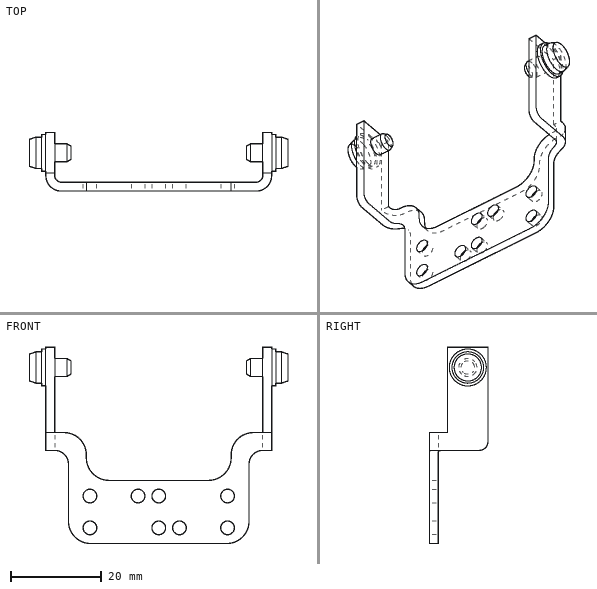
import cadquery as cq

total_length = 57.2
total_height = 43.5
total_depth = 13.0

sheet = 2.0
arm_span = 50.0
bend_outer_radius = 3.5
bend_inner_radius = bend_outer_radius - sheet
half_span = arm_span / 2

plate_width = 40.0
plate_top = 14.0
corner_radius = 5.0
half_plate = plate_width / 2

strip_width = 4.0
neck_top = 24.6
neck_bottom = neck_top - strip_width
neck_inner_x = half_plate - strip_width
inner_curve_radius = 5.0
outer_curve_radius = 3.0

arm_front = 4.0
arm_corner_radius = 2.0

hole_diameter = 3.0
hole_end_x = 15.2
hole_inner_x = 4.6
upper_row_z = 10.5
lower_row_z = 3.5
upper_row_x = (-hole_end_x, -hole_inner_x, 0, hole_end_x)
lower_row_x = (-hole_end_x, 0, hole_inner_x, hole_end_x)

pin_y = (arm_front + total_depth) / 2
pin_below_top = 4.5
pin_z = total_height - pin_below_top
flange_diameter = 8.2
flange_thickness = 0.9
head_diameter = 7.0
head_end_diameter = 6.0
head_taper_length = 1.45
shank_diameter = 4.0
shank_end_diameter = 3.0
shank_taper_length = 0.9
shank_reach = 3.6


def bent_strip():
    """U-shaped sheet, bent from the plate into both arms, before the outlines are cut."""
    outer = (
        cq.Workplane("XY")
        .rect(arm_span, 2 * total_depth)
        .extrude(total_height)
        .edges("|Z")
        .fillet(bend_outer_radius)
    )
    inner = (
        cq.Workplane("XY")
        .rect(arm_span - 2 * sheet, 2 * (total_depth - sheet))
        .extrude(total_height)
        .edges("|Z")
        .fillet(bend_inner_radius)
    )
    behind = cq.Workplane("XY").box(
        arm_span, total_depth, total_height, centered=(True, False, False)
    )
    front_half = outer.cut(inner).cut(behind)
    return front_half.translate((0, total_depth, 0))


def front_outline():
    """Plate and necks as seen along Y, out to the outer faces of the arms."""
    half = (
        cq.Workplane("XZ")
        .moveTo(0, 0)
        .lineTo(half_plate - corner_radius, 0)
        .radiusArc((half_plate, corner_radius), -corner_radius)
        .lineTo(half_plate, neck_bottom - outer_curve_radius)
        .radiusArc((half_plate + outer_curve_radius, neck_bottom), outer_curve_radius)
        .lineTo(half_span, neck_bottom)
        .lineTo(half_span, neck_top)
        .lineTo(neck_inner_x + inner_curve_radius, neck_top)
        .radiusArc((neck_inner_x, neck_top - inner_curve_radius), -inner_curve_radius)
        .lineTo(neck_inner_x, plate_top + inner_curve_radius)
        .radiusArc((neck_inner_x - inner_curve_radius, plate_top), inner_curve_radius)
        .lineTo(0, plate_top)
        .close()
        .extrude(-total_depth)
    )
    return half.union(half.mirror("YZ"))


def arm_region():
    """Side outline of the arms, with the lower back corner rounded."""
    arm_depth = total_depth - arm_front
    arm_height = total_height - neck_bottom
    return (
        cq.Workplane("XY")
        .box(arm_span, arm_depth, arm_height, centered=(True, False, False))
        .translate((0, arm_front, neck_bottom))
        .edges("|X and >Y and <Z")
        .fillet(arm_corner_radius)
    )


def neck_region():
    """Plate, necks and bends, which lie in front of the arms."""
    return (
        cq.Workplane("XY")
        .box(arm_span, arm_front, total_height, centered=(True, False, False))
        .intersect(front_outline())
    )


def plate_holes():
    """Two rows of through holes in the plate."""
    points = [(x, upper_row_z) for x in upper_row_x]
    points += [(x, lower_row_z) for x in lower_row_x]
    return cq.Workplane("XZ").pushPoints(points).circle(hole_diameter / 2).extrude(-sheet)


def left_pin():
    """Pin turned about an axis along X; its head lies outside the left arm."""
    head_end = -total_length / 2
    arm_outer = -half_span
    shank_end = arm_outer + sheet + shank_reach
    profile = (
        cq.Workplane("XY")
        .moveTo(head_end, 0)
        .lineTo(head_end, head_end_diameter / 2)
        .lineTo(head_end + head_taper_length, head_diameter / 2)
        .lineTo(arm_outer - flange_thickness, head_diameter / 2)
        .lineTo(arm_outer - flange_thickness, flange_diameter / 2)
        .lineTo(arm_outer, flange_diameter / 2)
        .lineTo(arm_outer, shank_diameter / 2)
        .lineTo(shank_end - shank_taper_length, shank_diameter / 2)
        .lineTo(shank_end, shank_end_diameter / 2)
        .lineTo(shank_end, 0)
        .close()
    )
    pin = profile.revolve(360, (0, 0, 0), (1, 0, 0))
    return pin.translate((0, pin_y, pin_z))


blank = neck_region().union(arm_region())
bracket = bent_strip().intersect(blank).cut(plate_holes())
pin = left_pin()
result = bracket.union(pin).union(pin.mirror("YZ"))